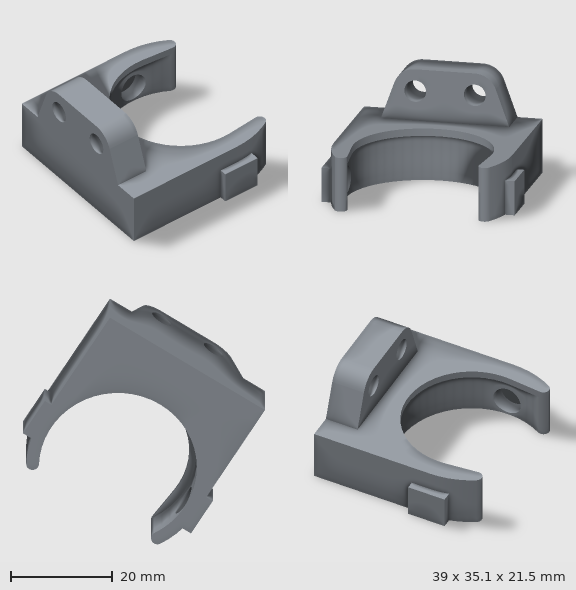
import cadquery as cq
import math

total_width = 39.0
total_depth = 35.15
total_height = 21.5
body_width = 36.0
body_height = 11.0

bore_y = 25.5
bore_radius = 14.0
recess_radius = 15.5
lip_height = 1.52
arm_tip_radius = 1.25

lug_thickness = 7.0
lug_base_width = 25.9
lug_hole_diameter = 4.35
lug_hole_spacing = 12.0
lug_corner_radius = 4.5

pad_length = 8.0
pad_height = 7.0
pocket_diameter = 6.0
pocket_pad_depth = 0.45

body_half = body_width / 2
lug_hole_z = total_height - lug_corner_radius


def polar(center, radius, angle):
    """Point at the given radius and angle (radians) around a center."""
    return (center[0] + radius * math.cos(angle), center[1] + radius * math.sin(angle))


def mirrored(point):
    return (-point[0], point[1])


def clip_body():
    """Block whose arms have outer arcs concentric with the bore and rounded tips."""
    bore_center = (0, bore_y)
    tip_distance = body_half - arm_tip_radius
    tip_y = total_depth - arm_tip_radius
    tip_angle = math.asin((tip_y - bore_y) / tip_distance)
    tip_center = polar(bore_center, tip_distance, tip_angle)
    flank_angle = tip_angle - math.acos((bore_radius + arm_tip_radius) / tip_distance)

    outer_mid = polar(bore_center, body_half, tip_angle / 2)
    outer_end = polar(bore_center, body_half, tip_angle)
    tip_top = polar(tip_center, arm_tip_radius, math.pi / 2)
    tip_end = polar(tip_center, arm_tip_radius, math.pi + flank_angle)
    bore_start = polar(bore_center, bore_radius, flank_angle)

    return (
        cq.Workplane("XY")
        .moveTo(-body_half, 0)
        .lineTo(body_half, 0)
        .lineTo(body_half, bore_y)
        .threePointArc(outer_mid, outer_end)
        .threePointArc(tip_top, tip_end)
        .lineTo(*bore_start)
        .threePointArc((0, bore_y - bore_radius), mirrored(bore_start))
        .lineTo(*mirrored(tip_end))
        .threePointArc(mirrored(tip_top), mirrored(outer_end))
        .threePointArc(mirrored(outer_mid), (-body_half, bore_y))
        .close()
        .extrude(body_height)
    )


def bore_recess():
    return (
        cq.Workplane("XY")
        .center(0, bore_y)
        .circle(recess_radius)
        .extrude(body_height - lip_height)
    )


def mounting_lug():
    """Tapered plate with top corners rounded around the screw holes."""
    corner_center = (lug_hole_spacing / 2, lug_hole_z)
    base_corner = (lug_base_width / 2, body_height)
    run = base_corner[0] - corner_center[0]
    drop = base_corner[1] - corner_center[1]
    side_angle = math.atan2(drop, run) + math.acos(lug_corner_radius / math.hypot(run, drop))
    side_end = polar(corner_center, lug_corner_radius, side_angle)
    arc_mid = polar(corner_center, lug_corner_radius, (side_angle + math.pi / 2) / 2)
    arc_end = (corner_center[0], total_height)

    return (
        cq.Workplane("XZ")
        .moveTo(*mirrored(base_corner))
        .lineTo(*base_corner)
        .lineTo(*side_end)
        .threePointArc(arc_mid, arc_end)
        .lineTo(*mirrored(arc_end))
        .threePointArc(mirrored(arc_mid), mirrored(side_end))
        .close()
        .extrude(-lug_thickness)
    )


def lug_holes():
    half_spacing = lug_hole_spacing / 2
    return (
        cq.Workplane("XZ")
        .pushPoints([(-half_spacing, lug_hole_z), (half_spacing, lug_hole_z)])
        .circle(lug_hole_diameter / 2)
        .extrude(-lug_thickness)
    )


def side_pads():
    """One bar across both arms; removing the recess leaves a pad on each side."""
    return (
        cq.Workplane("XY")
        .center(0, bore_y)
        .rect(total_width, pad_length)
        .extrude(pad_height)
    )


def arm_pockets():
    """Round pockets, open to the bore and ending a little way into the pads."""
    return (
        cq.Workplane("YZ")
        .center(bore_y, pad_height / 2)
        .circle(pocket_diameter / 2)
        .extrude(body_half + pocket_pad_depth, both=True)
    )


result = (
    clip_body()
    .union(side_pads())
    .union(mounting_lug())
    .cut(bore_recess())
    .cut(lug_holes())
    .cut(arm_pockets())
)